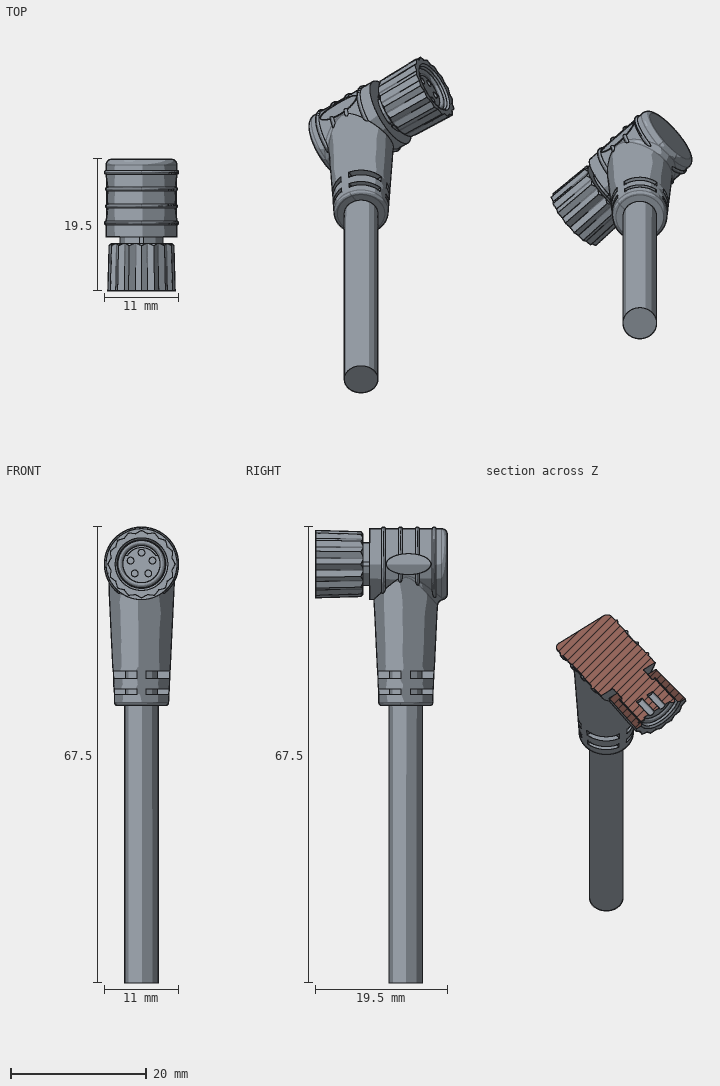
import cadquery as cq
import math


BARREL_RADIUS = 5.25
BARREL_BACK = 6.15
BARREL_FRONT = -5.35
BARREL_BACK_FILLET = 0.85
RING_OUTER_RADIUS = 5.5
RING_SECTION_RADIUS = 0.3
RING_COUNT = 4
RING_PITCH = 2.5
FIRST_RING_Y = 4.2

BADGE_LENGTH = 6.6
BADGE_HEIGHT = 3.1
BADGE_CENTRE_Y = 0.4
BADGE_DEPTH = 0.1

BOOT_TOP_RADIUS = 5.0
BOOT_BOTTOM_RADIUS = 4.0
BOOT_BOTTOM = -20.95
BOOT_BOTTOM_FILLET = 0.5
BOOT_BLEND_RADIUS = 0.9
BOX_MARGIN = 0.1
BLEND_FRONT = FIRST_RING_Y - 2 * RING_PITCH
RIB_WIDTH = 1.4
RELIEF_TOPS_AND_HEIGHTS = [(-15.85, 1.1), (-18.5, 0.8)]

CABLE_RADIUS = 2.5
CABLE_BOTTOM = -62.0
CABLE_TOP = -14.0

NECK_RADIUS = 3.2
NECK_GROOVE_WIDTH = 0.6
NECK_GROOVE_DEPTH = 0.3
NECK_GROOVE_COUNT = 4
SLEEVE_RADIUS = 3.5
SLEEVE_INNER_RADIUS = 2.75
SLEEVE_RIM_RADIUS = (SLEEVE_RADIUS - SLEEVE_INNER_RADIUS) / 2

NUT_BACK = -6.35
NUT_FRONT = -13.35
NUT_LENGTH = NUT_BACK - NUT_FRONT
NUT_TOOTH_COUNT = 16
NUT_CREST_RADIUS = 5.0
NUT_ROOT_RADIUS = 4.6
NUT_TAPER = 1.4
NUT_BACK_CHAMFER = 0.5
NUT_FLANGE_THICKNESS = 1.2
NUT_FLANGE_FRONT = NUT_BACK - NUT_FLANGE_THICKNESS
NUT_BORE_RADIUS = 3.6
NUT_BORE_CHAMFER = 0.3

SLEEVE_RECESS = 0.55
SLEEVE_FRONT = NUT_FRONT + SLEEVE_RECESS
CONTACT_RECESS = 1.0
CONTACT_FACE = NUT_FRONT + CONTACT_RECESS
CONTACT_COUNT = 5
CONTACT_CIRCLE_RADIUS = 1.7
CONTACT_RADIUS = 0.5
CONTACT_DEPTH = 3.0
KEYWAY_INNER_RADIUS = 2.45
KEYWAY_BOTTOM_Z = 1.3
KEYWAY_DEPTH = 1.0


def cylinder_along_y(radius, y_start, y_end):
    """Cylinder on the connector axis from y_start towards -Y to y_end."""
    return cq.Workplane("XZ", origin=(0, y_start, 0)).circle(radius).extrude(y_start - y_end)


def make_relief_cutters():
    """Strain-relief slots down to the cable, interrupted by four ribs on the X and Y axes."""
    cutters = []
    for top, height in RELIEF_TOPS_AND_HEIGHTS:
        level = cq.Workplane("XY", origin=(0, 0, top - height))
        slots = level.circle(BOOT_TOP_RADIUS).circle(CABLE_RADIUS).extrude(height)
        slots = slots.cut(level.rect(RIB_WIDTH, 3 * BOOT_TOP_RADIUS).extrude(height))
        slots = slots.cut(level.rect(3 * BOOT_TOP_RADIUS, RIB_WIDTH).extrude(height))
        cutters.append(slots)
    return cutters


def make_barrel_and_boot():
    """Barrel and boot, blended together behind the third grip ring."""
    barrel = cylinder_along_y(BARREL_RADIUS, BARREL_BACK, BARREL_FRONT)
    boot = (
        cq.Workplane("XY", origin=(0, 0, BOOT_BOTTOM))
        .circle(BOOT_BOTTOM_RADIUS)
        .workplane(offset=-BOOT_BOTTOM)
        .circle(BOOT_TOP_RADIUS)
        .loft()
        .faces("<Z")
        .edges()
        .fillet(BOOT_BOTTOM_FILLET)
    )
    for slots in make_relief_cutters():
        boot = boot.cut(slots)
    body = barrel.union(boot)
    back_block = (
        cq.Workplane("XZ", origin=(0, BLEND_FRONT, 0))
        .rect(4 * BARREL_RADIUS, -4 * BOOT_BOTTOM)
        .extrude(-2 * BARREL_BACK)
    )
    curve_box = cq.selectors.BoxSelector(
        (-BARREL_RADIUS, BLEND_FRONT - BOX_MARGIN, -BARREL_RADIUS - BOX_MARGIN),
        (BARREL_RADIUS, BARREL_BACK - BOX_MARGIN, 0),
        boundingbox=True,
    )
    back = body.intersect(back_block).edges(curve_box).fillet(BOOT_BLEND_RADIUS)
    back = back.faces(">Y").edges().fillet(BARREL_BACK_FILLET)
    return body.cut(back_block).union(back)


def make_rings():
    """Rounded grip rings around the barrel."""
    rings = []
    for index in range(RING_COUNT):
        centre = cq.Vector(0, FIRST_RING_Y - index * RING_PITCH, 0)
        ring = cq.Solid.makeTorus(
            RING_OUTER_RADIUS - RING_SECTION_RADIUS, RING_SECTION_RADIUS, centre, cq.Vector(0, 1, 0)
        )
        rings.append(cq.Workplane(ring))
    return rings


def make_badge_cutter():
    """Oval prism along X, hollowed so that it only cuts the barrel down to the recess floor."""
    oval = (
        cq.Workplane("YZ", origin=(-2 * BARREL_RADIUS, BADGE_CENTRE_Y, 0))
        .ellipse(BADGE_LENGTH / 2, BADGE_HEIGHT / 2)
        .extrude(4 * BARREL_RADIUS)
    )
    return oval.cut(cylinder_along_y(BARREL_RADIUS - BADGE_DEPTH, BARREL_BACK, BARREL_FRONT))


def make_neck():
    """Grooved neck that carries the nut and the contact sleeve in front of it."""
    neck = cylinder_along_y(NECK_RADIUS, BARREL_FRONT, NUT_FLANGE_FRONT)
    groove = (
        cq.Workplane("XZ", origin=(0, BARREL_FRONT, 0))
        .polarArray(NECK_RADIUS, 0, 360, NECK_GROOVE_COUNT)
        .rect(2 * NECK_GROOVE_DEPTH, NECK_GROOVE_WIDTH)
        .extrude(BARREL_FRONT - NUT_FLANGE_FRONT)
    )
    rim_start = SLEEVE_FRONT + SLEEVE_RIM_RADIUS
    sleeve = (
        cq.Workplane("XY")
        .moveTo(0, NUT_FLANGE_FRONT)
        .lineTo(SLEEVE_RADIUS, NUT_FLANGE_FRONT)
        .lineTo(SLEEVE_RADIUS, rim_start)
        .threePointArc(
            (SLEEVE_RADIUS - SLEEVE_RIM_RADIUS, SLEEVE_FRONT),
            (SLEEVE_INNER_RADIUS, rim_start),
        )
        .lineTo(SLEEVE_INNER_RADIUS, CONTACT_FACE)
        .lineTo(0, CONTACT_FACE)
        .close()
        .revolve(360, (0, 0, 0), (0, 1, 0))
    )
    keyway = (
        cylinder_along_y(SLEEVE_INNER_RADIUS, CONTACT_FACE + KEYWAY_DEPTH, CONTACT_FACE)
        .cut(cylinder_along_y(KEYWAY_INNER_RADIUS, CONTACT_FACE + KEYWAY_DEPTH, CONTACT_FACE))
        .intersect(
            cq.Workplane("XY", origin=(0, CONTACT_FACE, KEYWAY_BOTTOM_Z))
            .rect(2 * SLEEVE_RADIUS, 2 * KEYWAY_DEPTH)
            .extrude(SLEEVE_RADIUS)
        )
    )
    contacts = (
        cq.Workplane("XZ", origin=(0, CONTACT_FACE, 0))
        .polarArray(CONTACT_CIRCLE_RADIUS, 90, 360, CONTACT_COUNT)
        .circle(CONTACT_RADIUS)
        .extrude(-CONTACT_DEPTH)
    )
    return neck.cut(groove).union(sleeve).cut(keyway).cut(contacts)


def make_housing():
    """Barrel, boot, neck and contact sleeve in one piece, bored for the cable."""
    housing = make_barrel_and_boot()
    for ring in make_rings():
        housing = housing.union(ring)
    housing = housing.cut(make_badge_cutter())
    housing = housing.union(make_neck())
    return housing.cut(make_cable())


def make_cable():
    """Round cable that ends inside the boot, above the strain-relief slots."""
    return cq.Workplane("XY", origin=(0, 0, CABLE_BOTTOM)).circle(CABLE_RADIUS).extrude(CABLE_TOP - CABLE_BOTTOM)


def make_nut():
    """Tapered coupling nut with V-shaped grip teeth, running on the neck."""
    outline = []
    for index in range(2 * NUT_TOOTH_COUNT):
        radius = NUT_CREST_RADIUS if index % 2 == 0 else NUT_ROOT_RADIUS
        angle = index * math.pi / NUT_TOOTH_COUNT
        outline.append((radius * math.cos(angle), radius * math.sin(angle)))
    toothed = (
        cq.Workplane("XZ", origin=(0, NUT_FRONT, 0))
        .polyline(outline)
        .close()
        .extrude(-NUT_LENGTH, taper=NUT_TAPER)
    )
    chamfered_blank = (
        cylinder_along_y(NUT_CREST_RADIUS, NUT_BACK, NUT_FRONT)
        .faces(">Y")
        .chamfer(NUT_BACK_CHAMFER)
    )
    neck_hole = cylinder_along_y(NECK_RADIUS, NUT_BACK, NUT_FRONT)
    bore = cylinder_along_y(NUT_BORE_RADIUS, NUT_FLANGE_FRONT, NUT_FRONT)
    nut = toothed.intersect(chamfered_blank).cut(neck_hole).cut(bore)
    return nut.faces("<Y").edges("%CIRCLE").chamfer(NUT_BORE_CHAMFER)


housing = make_housing()
cable = make_cable()
nut = make_nut()
result = cq.Compound.makeCompound([
    housing.solids().val(),
    cable.solids().val(),
    nut.solids().val(),
])